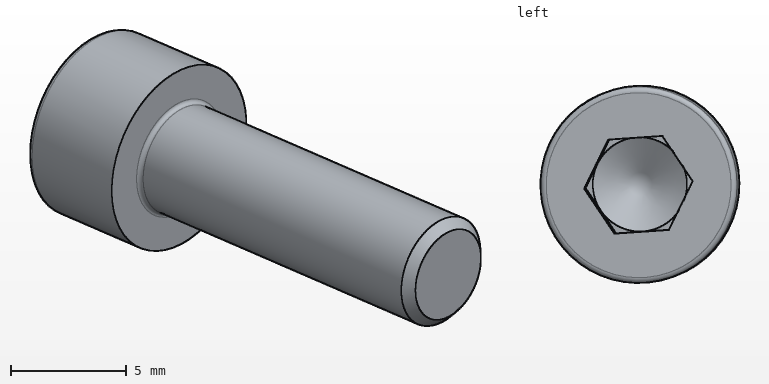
import cadquery as cq
import math

shank_diameter = 5.0
shank_length = 16.0
head_diameter = 8.5
head_height = shank_diameter
head_edge_radius = 0.25
neck_radius = 0.2
tip_chamfer = 0.433

socket_sides = 6
socket_across_flats = 4.075
socket_depth = 2.5
socket_cone_angle = 120.0

roll_angle = -3.9
lift_angle = 0.55
swing_angle = -1.45

x_axis = (1, 0, 0)
y_axis = (0, 1, 0)
z_axis = (0, 0, 1)
origin = (0, 0, 0)


def make_body():
    """Head and shank revolved about X, with the underside of the head at X = 0."""
    head_radius = head_diameter / 2
    shank_radius = shank_diameter / 2
    arc_middle = 1 - math.sqrt(0.5)
    edge_middle = head_edge_radius * arc_middle
    neck_middle = neck_radius * arc_middle
    profile = (
        cq.Workplane("XY")
        .moveTo(-head_height, 0)
        .lineTo(-head_height, head_radius - head_edge_radius)
        .threePointArc(
            (-head_height + edge_middle, head_radius - edge_middle),
            (-head_height + head_edge_radius, head_radius),
        )
        .lineTo(0, head_radius)
        .lineTo(0, shank_radius + neck_radius)
        .threePointArc((neck_middle, shank_radius + neck_middle), (neck_radius, shank_radius))
        .lineTo(shank_length - tip_chamfer, shank_radius)
        .lineTo(shank_length, shank_radius - tip_chamfer)
        .lineTo(shank_length, 0)
        .close()
    )
    return profile.revolve(360, origin, x_axis)


def make_socket():
    """Hexagon with two flats facing +Z and -Z, ending in a cone as wide as the flats."""
    half_side_angle = math.radians(180 / socket_sides)
    across_corners = socket_across_flats / math.cos(half_side_angle)
    hexagon = (
        cq.Workplane("YZ", origin=(-head_height, 0, 0))
        .polygon(socket_sides, across_corners)
        .extrude(socket_depth)
    )
    cone_radius = socket_across_flats / 2
    cone_depth = cone_radius / math.tan(math.radians(socket_cone_angle / 2))
    floor_x = socket_depth - head_height
    floor_center = cq.Vector(floor_x, 0, 0)
    cone = cq.Solid.makeCone(cone_radius, 0, cone_depth, pnt=floor_center, dir=cq.Vector(x_axis))
    return hexagon.union(cq.Workplane(cone))


screw = make_body().cut(make_socket())

result = (
    screw.rotate(origin, x_axis, roll_angle)
    .rotate(origin, y_axis, -lift_angle)
    .rotate(origin, z_axis, swing_angle)
)